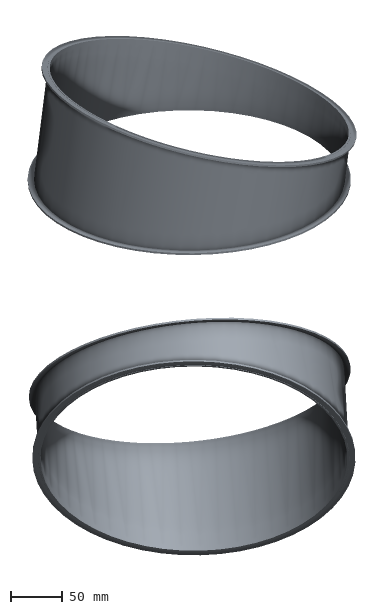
import cadquery as cq
import math

flange_diameter = 315.0
tube_diameter = 303.0
tube_wall = 2.0
flange_thickness = 2.0
tube_lip = 0.3
bend_angle = 15.0
axis_height = 85.5

tube_lean = math.tan(math.radians(bend_angle / 2))
bore_diameter = tube_diameter - 2 * tube_wall
upper_centre = (0, axis_height * tube_lean, axis_height)
upper_normal = (
    0,
    math.sin(math.radians(bend_angle)),
    math.cos(math.radians(bend_angle)),
)
upper_plane = cq.Plane(origin=upper_centre, xDir=(1, 0, 0), normal=upper_normal)


def leaning_cylinder(diameter):
    """Oblique cylinder, circular at the base and tall enough to be mitred."""
    height = 2 * axis_height
    return (
        cq.Workplane("XY")
        .circle(diameter / 2)
        .workplane(offset=height)
        .center(0, height * tube_lean)
        .circle(diameter / 2)
        .loft(ruled=True)
    )


def mitre_cutter():
    """Block covering everything above the upper end plane."""
    size = 2 * flange_diameter
    return cq.Workplane(upper_plane).rect(size, size).extrude(size)


def flange_disc(end_plane, inward):
    """Disc set back from a tube end by the lip; inward is +1 or -1 along the plane normal."""
    return (
        cq.Workplane(end_plane)
        .workplane(offset=inward * tube_lip)
        .circle(flange_diameter / 2)
        .extrude(inward * flange_thickness)
    )


lower_flange = flange_disc(cq.Plane.XY(), 1)
upper_flange = flange_disc(upper_plane, -1)

outer_body = leaning_cylinder(tube_diameter).cut(mitre_cutter())
bore = leaning_cylinder(bore_diameter)

result = outer_body.union(lower_flange).union(upper_flange).cut(bore)